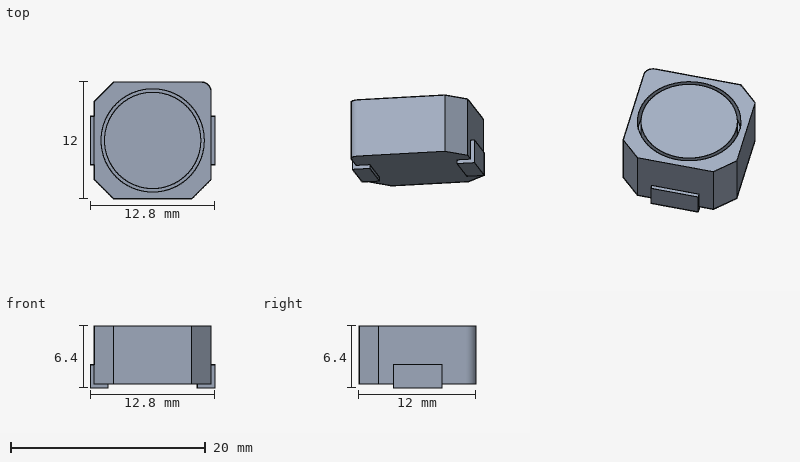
import cadquery as cq

overall_length = 12.8
overall_height = 6.4
body_side = 12.0
terminal_thickness = (overall_length - body_side) / 2
body_height = overall_height - terminal_thickness

corner_chamfer = 2.0
corner_radius = 1.0

gap_outer_diameter = 10.61
core_diameter = 9.9
gap_depth = 2.0

terminal_width = 5.0
terminal_height = 2.4
foot_length = 1.83


def make_body():
    """Square block with three chamfered corners and one rounded corner."""
    block = cq.Workplane("XY").box(body_side, body_side, body_height, centered=(True, True, False))
    block = block.edges("|Z and (<X or <Y)").chamfer(corner_chamfer)
    return block.edges("|Z").edges(">(1, 1, 0)").fillet(corner_radius)


def make_gap():
    """Ring cut down from the top face, leaving the round core standing."""
    return (
        cq.Workplane("XY", origin=(0, 0, body_height - gap_depth))
        .circle(gap_outer_diameter / 2)
        .circle(core_diameter / 2)
        .extrude(gap_depth)
    )


def make_terminal():
    """L-shaped strip on the -X side: an upright plate and a foot under the body."""
    outer_x = -overall_length / 2
    bottom_z = -terminal_thickness
    return (
        cq.Workplane("XZ")
        .moveTo(outer_x, bottom_z)
        .lineTo(outer_x + foot_length, bottom_z)
        .lineTo(outer_x + foot_length, 0)
        .lineTo(-body_side / 2, 0)
        .lineTo(-body_side / 2, bottom_z + terminal_height)
        .lineTo(outer_x, bottom_z + terminal_height)
        .close()
        .extrude(terminal_width / 2, both=True)
    )


terminal = make_terminal()
result = make_body().cut(make_gap()).union(terminal).union(terminal.mirror("YZ"))